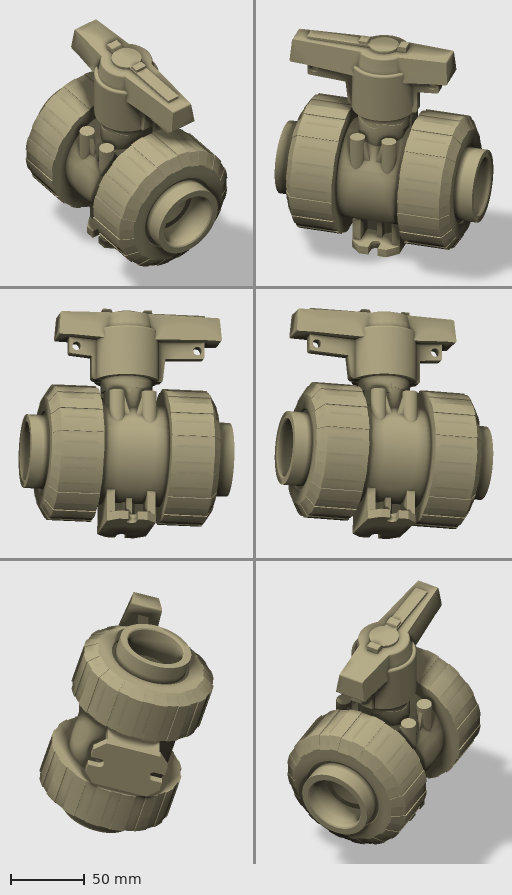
import cadquery as cq


OVERALL_LENGTH = 139.6
PORT_RADIUS = 15.5
BARREL_RADIUS = 34.1
BARREL_END = 40.0

NUT_RADIUS = 46.02
NUT_INNER_END = 23.3
NUT_OUTER_END = 57.9
NUT_CHAMFER_LENGTH = 5.2
NUT_CHAMFER_DEPTH = 8.2
NUT_MOUTH_RADIUS = 27.2
NUT_MOUTH_CHAMFER = 0.5
NUT_SHOULDER = NUT_OUTER_END - NUT_CHAMFER_LENGTH
GRIP_COUNT = 16
GRIP_DEPTH = 0.75
GRIP_WIDTH = 8.3

SPIGOT_RADIUS = 25.0
SOCKET_RADIUS = 19.6
SOCKET_DEPTH = 22.0
SOCKET_CHAMFER = 0.8
COLLAR_RECESS = 1.5

NECK_RADIUS = 17.6
NECK_TOP = 67.3
NECK_FLAT = 15.7
NECK_FLAT_TOP = 42.6
BAND_RADIUS = 17.95
BAND_HEIGHT = 3.15
BAND_START = 46.3
BAND_MIDDLE = 44.2
BAND_REENTRY = 45.7
BAND_END = 42.7
BAND_LEVEL_RUN = 5.8
STOP_HEIGHT = 3.1

POST_X = 11.05
POST_Y = 25.0
POST_RADIUS = 5.1
POST_TOP = 38.5
POST_RIB_THICKNESS = 2.6
POST_RIB_TOP = 34.6
POST_RIB_FOOT = 21.5
POST_RIB_REACH = 9.25
NECK_RIB_OFFSET = 1.85

FOOT_BOTTOM = -51.0
FOOT_THICKNESS = 5.7
FOOT_TOP = FOOT_BOTTOM + FOOT_THICKNESS
FOOT_HALF_X = 16.75
FOOT_HALF_Y = 26.1
FOOT_CHAMFER = 7.1
FOOT_SLOT_RADIUS = 3.3
FOOT_SLOT_CENTRE = 19.2
LEG_THICKNESS = 5.6
LEG_HALF_Y = 18.2
FOOT_HUB_RADIUS = 5.35
FOOT_WEB_THICKNESS = 3.7
FOOT_WEB_HALF_Y = 10.6

SKIRT_RADIUS = 21.9
SKIRT_BOTTOM = 51.4
SKIRT_TOP = 85.8
SKIRT_FILLET = 1.5
SKIRT_SLOT_WIDTH = 9.3
DOME_BASE_RADIUS = 19.5
DOME_TOP_RADIUS = 17.4
DOME_FILLET = 1.3
LEVER_TOP = 96.6
LEVER_UNDERSIDE = 78.5
LEVER_TIP_UNDERSIDE = 80.2
LEVER_LEFT = -48.2
LEVER_RIGHT = 64.15
LEVER_ROOT_X = 12.0
LEVER_LEVEL_X = 17.0
LEVER_LEFT_HALF_WIDTH = 11.2
LEVER_RIGHT_HALF_WIDTH = 10.0
LEVER_ROOT_HALF_WIDTH = 13.75
LEVER_SIDE_DRAFT = 2.4
LEVER_END_DRAFT = 1.4
LEVER_END_FILLET = 1.2
KEEL_THICKNESS = 7.6
KEEL_LEFT = -39.9
KEEL_RIGHT = 53.1
KEEL_TIP_BOTTOM = 68.9
KEEL_ROOT_BOTTOM = 67.5
KEEL_TIP_FILLET = 1.5
KEEL_HOLE_RADIUS = 2.9
KEEL_HOLE_INSET = 4.9
KEEL_HOLE_Z = 74.1
FIN_BOTTOM_X = 24.4
FIN_LEAN = 1.7
FIN_CORNER = 1.2

CAP_RADIUS = 10.1
CAP_TOP = 98.6
POINTER_WIDTH = 8.8
TAB_TOP = 100.77
TAB_WIDTH = 8.1
TAB_OUTER = 16.75
TAB_INNER_TOP = 11.1
TAB_INNER_BOTTOM = 9.8
TAB_FILLET = 1.0


def block(x_range, y_range, z_range):
    """Box between the given limits on each axis."""
    sizes = [high - low for low, high in (x_range, y_range, z_range)]
    corner = (x_range[0], y_range[0], z_range[0])
    return cq.Workplane("XY").box(*sizes, centered=False).translate(corner)


def stem_cylinder(radius, bottom, top):
    """Vertical cylinder on the stem axis."""
    return cq.Workplane("XY").workplane(offset=bottom).circle(radius).extrude(top - bottom)


def turned_about_x(points):
    """Solid of revolution about the flow axis from (x, radius) points."""
    return cq.Workplane("XY").polyline(points).close().revolve(360, (0, 0, 0), (1, 0, 0))


def plate_xz(points, thickness, y_centre=0):
    """Plate with an (x, z) outline, centred on the given y."""
    plate = cq.Workplane("XZ").polyline(points).close().extrude(thickness / 2, both=True)
    return plate.translate((0, y_centre, 0))


def on_both_ends(solid):
    """The solid on the +X side and its half-turn copy on the -X side."""
    return [solid.rotate((0, 0, 0), (0, 0, 1), angle) for angle in (0, 180)]


def nut_blank(radius):
    """Solid nut shape with its outer end chamfered."""
    return turned_about_x([
        (NUT_INNER_END, 0),
        (NUT_INNER_END, radius),
        (NUT_SHOULDER, radius),
        (NUT_OUTER_END, radius - NUT_CHAMFER_DEPTH),
        (NUT_OUTER_END, 0),
    ])


def make_nut():
    """Nut on the +X side, with grip grooves and a stepped bore."""
    grip_bars = cq.Workplane("XY")
    for index in range(GRIP_COUNT // 2):
        bar = block(
            (NUT_INNER_END, NUT_OUTER_END),
            (-NUT_RADIUS, NUT_RADIUS),
            (-GRIP_WIDTH / 2, GRIP_WIDTH / 2),
        )
        grip_bars = grip_bars.union(bar.rotate((0, 0, 0), (1, 0, 0), index * 360 / GRIP_COUNT))
    grooves = grip_bars.cut(nut_blank(NUT_RADIUS - GRIP_DEPTH))
    bore = turned_about_x([
        (NUT_INNER_END, 0),
        (NUT_INNER_END, BARREL_RADIUS),
        (NUT_SHOULDER, BARREL_RADIUS),
        (NUT_SHOULDER, NUT_MOUTH_RADIUS),
        (NUT_OUTER_END - NUT_MOUTH_CHAMFER, NUT_MOUTH_RADIUS),
        (NUT_OUTER_END, NUT_MOUTH_RADIUS + NUT_MOUTH_CHAMFER),
        (NUT_OUTER_END, 0),
    ])
    return nut_blank(NUT_RADIUS).cut(grooves).cut(bore)


def make_connector():
    """Flanged spigot on the +X side, with a pipe socket."""
    end = OVERALL_LENGTH / 2
    collar_end = NUT_OUTER_END - COLLAR_RECESS
    return turned_about_x([
        (BARREL_END, PORT_RADIUS),
        (BARREL_END, BARREL_RADIUS),
        (NUT_SHOULDER, BARREL_RADIUS),
        (NUT_SHOULDER, NUT_MOUTH_RADIUS),
        (collar_end, NUT_MOUTH_RADIUS),
        (collar_end, SPIGOT_RADIUS),
        (end, SPIGOT_RADIUS),
        (end, SOCKET_RADIUS + SOCKET_CHAMFER),
        (end - SOCKET_CHAMFER, SOCKET_RADIUS),
        (end - SOCKET_DEPTH, SOCKET_RADIUS),
        (end - SOCKET_DEPTH, PORT_RADIUS),
    ])


def make_band(top_line):
    """Band on the -Y side of the neck that hangs below an (x, z) top line."""
    bottom_line = [(x, z - BAND_HEIGHT) for x, z in reversed(top_line)]
    slab = plate_xz(top_line + bottom_line, BAND_RADIUS, -BAND_RADIUS / 2)
    return stem_cylinder(BAND_RADIUS, 0, NECK_TOP).intersect(slab)


def make_neck():
    """Stem neck with side flats, sloping guide bands and half-width stops above the flats."""
    neck = stem_cylinder(NECK_RADIUS, 0, NECK_TOP)
    flat_depth = (NECK_FLAT, BAND_RADIUS)
    stop_bottom = NECK_FLAT_TOP - STOP_HEIGHT
    flat = block(flat_depth, (-BAND_RADIUS, BAND_RADIUS), (0, stop_bottom))
    stop_side = block(flat_depth, (0, BAND_RADIUS), (stop_bottom, NECK_FLAT_TOP))
    for relief in on_both_ends(flat.union(stop_side)):
        neck = neck.cut(relief)
    upper_band = make_band([(0, BAND_START), (BAND_LEVEL_RUN, BAND_START), (NECK_FLAT, BAND_MIDDLE)])
    lower_band = make_band([(-NECK_FLAT, BAND_REENTRY), (-BAND_LEVEL_RUN, BAND_END), (0, BAND_END)])
    for feature in (upper_band, lower_band):
        for copy in on_both_ends(feature):
            neck = neck.union(copy)
    return neck


def make_post():
    """Post at +X +Y with one rib toward the mid-plane and one toward the neck."""
    post = stem_cylinder(POST_RADIUS, 0, POST_TOP).translate((POST_X, POST_Y, 0))
    rib_outline = [
        (0, 0),
        (0, POST_RIB_TOP),
        (-POST_RADIUS, POST_RIB_TOP),
        (-POST_RIB_REACH, POST_RIB_FOOT),
        (-POST_RIB_REACH, 0),
    ]
    rib = plate_xz(rib_outline, POST_RIB_THICKNESS)
    side_rib = rib.translate((POST_X, POST_Y, 0))
    neck_rib = rib.rotate((0, 0, 0), (0, 0, 1), 90).translate((POST_X + NECK_RIB_OFFSET, POST_Y, 0))
    return post.union(side_rib).union(neck_rib)


def make_foot():
    """Slotted flange with two legs, a centre hub and crossed webs up to the barrel."""
    flange = (
        block((-FOOT_HALF_X, FOOT_HALF_X), (-FOOT_HALF_Y, FOOT_HALF_Y), (FOOT_BOTTOM, FOOT_TOP))
        .edges("|Z").chamfer(FOOT_CHAMFER)
    )
    slot_length = 2 * (FOOT_HALF_Y - FOOT_SLOT_CENTRE) + 2 * FOOT_SLOT_RADIUS
    slots = (
        cq.Workplane("XY").workplane(offset=FOOT_BOTTOM)
        .pushPoints([(0, -FOOT_HALF_Y), (0, FOOT_HALF_Y)])
        .slot2D(slot_length, 2 * FOOT_SLOT_RADIUS, 90).extrude(FOOT_THICKNESS)
    )
    foot = flange.cut(slots)
    half_web = FOOT_WEB_THICKNESS / 2
    height = (FOOT_TOP, 0)
    leg_inner = FOOT_HALF_X - LEG_THICKNESS
    foot = foot.union(block((leg_inner, FOOT_HALF_X), (-LEG_HALF_Y, LEG_HALF_Y), height))
    foot = foot.union(block((-FOOT_HALF_X, -leg_inner), (-LEG_HALF_Y, LEG_HALF_Y), height))
    foot = foot.union(block((-leg_inner, leg_inner), (-half_web, half_web), height))
    foot = foot.union(block((-half_web, half_web), (-FOOT_WEB_HALF_Y, FOOT_WEB_HALF_Y), height))
    return foot.union(stem_cylinder(FOOT_HUB_RADIUS, FOOT_TOP, 0))


def make_housing():
    """Barrel with its neck, four posts and foot, bored through along X."""
    barrel = cq.Workplane("YZ").circle(BARREL_RADIUS).extrude(BARREL_END, both=True)
    housing = barrel.union(make_neck()).union(make_foot())
    post_pair = make_post()
    post_pair = post_pair.union(post_pair.mirror("YZ"))
    housing = housing.union(post_pair).union(post_pair.mirror("XZ"))
    port = cq.Workplane("YZ").circle(PORT_RADIUS).extrude(BARREL_END, both=True)
    return housing.cut(port)


def lever_outline(side_inset, end_inset):
    """Plan outline of the lever, moved inward by the given insets."""
    upper = [
        (LEVER_LEFT + end_inset, LEVER_LEFT_HALF_WIDTH - side_inset),
        (-LEVER_ROOT_X, LEVER_ROOT_HALF_WIDTH - side_inset),
        (LEVER_ROOT_X, LEVER_ROOT_HALF_WIDTH - side_inset),
        (LEVER_RIGHT - end_inset, LEVER_RIGHT_HALF_WIDTH - side_inset),
    ]
    return upper + [(x, -y) for x, y in reversed(upper)]


def make_lever():
    """Drafted lever whose underside rises from the hub toward both tips."""
    lever = (
        cq.Workplane("XY").workplane(offset=LEVER_UNDERSIDE)
        .polyline(lever_outline(0, 0)).close()
        .workplane(offset=LEVER_TOP - LEVER_UNDERSIDE)
        .polyline(lever_outline(LEVER_SIDE_DRAFT, LEVER_END_DRAFT)).close()
        .loft(ruled=True)
    )
    lever = lever.faces(">Z").edges("<X or >X").fillet(LEVER_END_FILLET)
    for tip, level_start in ((LEVER_LEFT, KEEL_LEFT), (LEVER_RIGHT, KEEL_RIGHT)):
        root = LEVER_LEVEL_X if tip > 0 else -LEVER_LEVEL_X
        relief = [
            (root, LEVER_UNDERSIDE),
            (tip, LEVER_UNDERSIDE),
            (tip, LEVER_TIP_UNDERSIDE),
            (level_start, LEVER_TIP_UNDERSIDE),
        ]
        lever = lever.cut(plate_xz(relief, 4 * LEVER_ROOT_HALF_WIDTH))
    return lever.edges("<X or >X").fillet(LEVER_END_FILLET)


def make_keel():
    """Thin plate under the lever, with lock holes and a fin each side of the skirt."""
    fin_top_x = FIN_BOTTOM_X + FIN_LEAN
    keel = plate_xz([
        (KEEL_LEFT, LEVER_TIP_UNDERSIDE),
        (KEEL_LEFT, KEEL_TIP_BOTTOM),
        (-FIN_BOTTOM_X, KEEL_ROOT_BOTTOM),
        (-FIN_BOTTOM_X, SKIRT_BOTTOM + FIN_CORNER),
        (-FIN_BOTTOM_X + FIN_CORNER, SKIRT_BOTTOM),
        (FIN_BOTTOM_X - FIN_CORNER, SKIRT_BOTTOM),
        (FIN_BOTTOM_X, SKIRT_BOTTOM + FIN_CORNER),
        (fin_top_x, KEEL_ROOT_BOTTOM),
        (KEEL_RIGHT, KEEL_TIP_BOTTOM),
        (KEEL_RIGHT, LEVER_TIP_UNDERSIDE),
    ], KEEL_THICKNESS)
    keel = keel.faces("<X or >X").edges("<Z").fillet(KEEL_TIP_FILLET)
    hole_places = [
        (KEEL_LEFT + KEEL_HOLE_INSET, KEEL_HOLE_Z),
        (KEEL_RIGHT - KEEL_HOLE_INSET, KEEL_HOLE_Z),
    ]
    holes = (
        cq.Workplane("XZ").pushPoints(hole_places)
        .circle(KEEL_HOLE_RADIUS).extrude(KEEL_THICKNESS, both=True)
    )
    return keel.cut(holes)


def make_top_marks():
    """Round cap, pointer strip along +X and two sloped tabs."""
    marks = stem_cylinder(CAP_RADIUS, LEVER_TOP, CAP_TOP)
    half_pointer = POINTER_WIDTH / 2
    marks = marks.union(
        block((0, KEEL_RIGHT), (-half_pointer, half_pointer), (LEVER_TOP, CAP_TOP))
    )
    tab = plate_xz([
        (TAB_INNER_BOTTOM, LEVER_TOP),
        (TAB_INNER_TOP, TAB_TOP),
        (TAB_OUTER, TAB_TOP),
        (TAB_OUTER, LEVER_TOP),
    ], TAB_WIDTH)
    tab = tab.faces(">Z").edges("<X").fillet(TAB_FILLET)
    for copy in on_both_ends(tab):
        marks = marks.union(copy)
    return marks


def make_handle():
    """Slotted skirt and dome with the lever, keel and top marks, hollowed for the neck."""
    skirt = stem_cylinder(SKIRT_RADIUS, SKIRT_BOTTOM, SKIRT_TOP).faces(">Z").edges().fillet(SKIRT_FILLET)
    half_slot = SKIRT_SLOT_WIDTH / 2
    skirt = skirt.cut(block(
        (-SKIRT_RADIUS, SKIRT_RADIUS),
        (-half_slot, half_slot),
        (SKIRT_BOTTOM, LEVER_UNDERSIDE),
    ))
    dome = (
        cq.Workplane("XY").workplane(offset=SKIRT_TOP).circle(DOME_BASE_RADIUS)
        .workplane(offset=LEVER_TOP - SKIRT_TOP).circle(DOME_TOP_RADIUS).loft()
        .faces(">Z").edges().fillet(DOME_FILLET)
    )
    handle = skirt.union(dome).union(make_lever()).union(make_keel()).union(make_top_marks())
    return handle.cut(stem_cylinder(NECK_RADIUS, SKIRT_BOTTOM, NECK_TOP))


housing = make_housing()
nuts = on_both_ends(make_nut())
connectors = on_both_ends(make_connector())
handle = make_handle()

result = cq.Compound.makeCompound(
    [housing.val(), handle.val()]
    + [nut.val() for nut in nuts]
    + [connector.val() for connector in connectors]
)